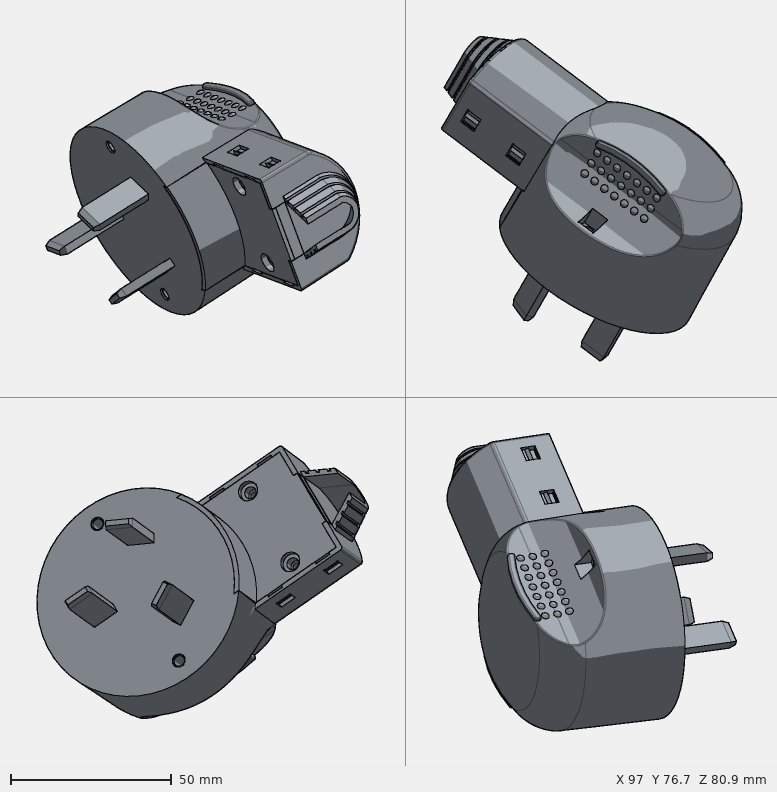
import cadquery as cq
import math

ARM_TILT = 30.0

BASE_RADIUS = 33.55
SIDE_DRAFT = 1.0
SHOULDER_START = 33.0
DOME_EDGE_RADIUS = 25.0
DOME_EDGE_HEIGHT = 45.4
BODY_HEIGHT = 52.1

GRIP_WALL = 20.3
GRIP_RADIUS = 14.5
GRIP_TANGENT_HEIGHT = 38.0
GRIP_RIM_FILLET = 0.5
BUMP_RADIUS = 1.25
BUMP_HEIGHT = 0.6
BUMP_PITCH = 4.0
BUMPS_PER_ROW = 7
BUMP_ROW_HEIGHTS = (41.7, 37.6, 33.7)
RAIL_HALF_SPAN = 13.7
RAIL_END_HEIGHT = 45.6
RAIL_CROWN_HEIGHT = 47.75
RAIL_THICKNESS = 2.4
RAIL_PROJECTION = 1.2
RAIL_ROOT = 1.0
RAIL_CORNER_FILLET = 0.9
RAIL_EDGE_FILLET = 0.5

BODY_SCREW_OFFSET = 27.0
BODY_SCREW_RADIUS = 1.7
BODY_SCREW_MOUTH_RADIUS = 2.1
SCREW_MOUTH_DEPTH = 0.6
SCREW_RECESS_WIDTH = 6.0
SCREW_RECESS_INNER = 24.7
SCREW_RECESS_OUTER = 31.0
SCREW_RECESS_FLOOR = 22.0

ARM_END = 60.0
ARM_HALF_WIDTH = 20.45
ARM_BOTTOM = 15.8
ARM_SIDE_HEIGHT = 34.9
ARM_CROWN_HEIGHT = 45.6
ARM_DRAFT = 1.0
ARM_SHOULDER_FILLET = 2.5
ARM_END_FILLET = 1.0
ARM_WALL = 1.65

SEAM_STEP = 0.15
COVER_THICKNESS = 1.5
COVER_TONGUE_HALF_WIDTH = 9.5
NECK_HALF_WIDTH = 19.0
NECK_INNER_RADIUS = 32.0

ARM_SCREW_X = 43.5
ARM_SCREW_OFFSET = 14.0
ARM_SCREW_STEPS = ((3.15, 2.3), (1.9, 6.0), (1.2, 15.0))

WINDOW_X = (34.6, 52.8)
WINDOW_LENGTH = 5.3
WINDOW_BOTTOM = 21.9
WINDOW_TOP = 26.6
LATCH_SLOPE_BOTTOM = 24.0
LATCH_SLOPE_TOP = 25.1
LATCH_FACE = 19.0
LATCH_TIP = 19.7
WINDOW_BACK = 18.4
LATCH_SLOT_OUTER = 19.6

SLEEVE_END = 69.9
SLEEVE_BOTTOM = 20.9
SLEEVE_SPRING_HEIGHT = 34.8
SLEEVE_ROOT = (11.5, 10.0)
SLEEVE_TIP = (5.85, 4.5)
SLEEVE_WALL = 2.1
GROOVE_X = (61.6, 64.7, 67.9)
GROOVE_WIDTH = 0.8
GROOVE_DEPTH = 0.9

PIN_WIDTH = 8.8
PIN_THICKNESS = 2.9
PIN_TIP_LENGTH = 2.1
PIN_TIP_INSET = 0.6
EARTH_PIN_LENGTH = 24.6
LIVE_PIN_LENGTH = 21.5
EARTH_PIN_X = -13.1
LIVE_PIN_X = 9.3
LIVE_PIN_OFFSET = 14.1
LIVE_PIN_ANGLE = 30.0

MARGIN = 5.0


def mirrored(shape):
    """The shape together with its mirror image across the arm's middle plane."""
    return shape.union(shape.mirror("XY"))


def block(x_range, y_range, z_range):
    """Box between the given limits."""
    (x0, x1), (y0, y1), (z0, z1) = x_range, y_range, z_range
    return cq.Workplane("XY").box(x1 - x0, y1 - y0, z1 - z0, centered=False).translate((x0, y0, z0))


def cylinder_y(x, z, radius, y_range):
    """Cylinder standing along Y."""
    start, end = y_range
    solid = cq.Solid.makeCylinder(radius, end - start, cq.Vector(x, start, z), cq.Vector(0, 1, 0))
    return cq.Workplane(solid)


def side_radius(height):
    """Radius of the drafted body side at a height."""
    return BASE_RADIUS - height * math.tan(math.radians(SIDE_DRAFT))


def round_body():
    """Drafted drum with a rounded shoulder running smoothly into a shallow dome."""
    dome_rise = BODY_HEIGHT - DOME_EDGE_HEIGHT
    dome_radius = (DOME_EDGE_RADIUS**2 + dome_rise**2) / (2 * dome_rise)
    half_angle = math.asin(DOME_EDGE_RADIUS / dome_radius) / 2
    dome_middle = (
        dome_radius * math.sin(half_angle),
        BODY_HEIGHT - dome_radius * (1 - math.cos(half_angle)),
    )
    return (
        cq.Workplane("XY")
        .lineTo(BASE_RADIUS, 0)
        .lineTo(side_radius(SHOULDER_START), SHOULDER_START)
        .tangentArcPoint((DOME_EDGE_RADIUS, DOME_EDGE_HEIGHT), relative=False)
        .threePointArc(dome_middle, (0, BODY_HEIGHT))
        .close()
        .revolve(360, (0, 0, 0), (0, 1, 0))
    )


def grip_cutter():
    """Cutter for a grip: an upright wall running into a quarter-round floor, along the arm direction."""
    floor_axis = GRIP_WALL + GRIP_RADIUS
    hollow = cq.Workplane(
        cq.Solid.makeCylinder(
            GRIP_RADIUS,
            2 * BASE_RADIUS,
            cq.Vector(-BASE_RADIUS, GRIP_TANGENT_HEIGHT, floor_axis),
            cq.Vector(1, 0, 0),
        )
    )
    above = block(
        (-BASE_RADIUS, BASE_RADIUS),
        (GRIP_TANGENT_HEIGHT, BODY_HEIGHT + MARGIN),
        (GRIP_WALL, floor_axis + GRIP_RADIUS),
    )
    return hollow.union(above)


def gripped_body():
    """Round body with both grips cut and their rims rounded."""
    body = round_body().cut(mirrored(grip_cutter()))
    floor_rims = body.faces("%CYLINDER").edges("not %LINE")
    wall_rims = body.faces("%PLANE and (not <Y)").edges("not %LINE")
    return body.newObject(floor_rims.vals() + wall_rims.vals()).fillet(GRIP_RIM_FILLET)


def grip_bumps():
    """Rows of shallow round caps standing on the grip surface."""
    ball_radius = (BUMP_RADIUS**2 + BUMP_HEIGHT**2) / (2 * BUMP_HEIGHT)
    sink = ball_radius - BUMP_HEIGHT
    floor_axis = GRIP_WALL + GRIP_RADIUS
    bumps = cq.Workplane("XY")
    for height in BUMP_ROW_HEIGHTS:
        drop = max(GRIP_TANGENT_HEIGHT - height, 0)
        angle = math.asin(drop / GRIP_RADIUS)
        y = height - sink * math.sin(angle)
        z = floor_axis - GRIP_RADIUS * math.cos(angle) - sink * math.cos(angle)
        for index in range(BUMPS_PER_ROW):
            x = (index - (BUMPS_PER_ROW - 1) / 2) * BUMP_PITCH
            bumps = bumps.union(cq.Workplane("XY").sphere(ball_radius).translate((x, y, z)))
    return bumps


def grip_rail():
    """Curved bar along the top of the grip wall."""
    return (
        cq.Workplane("XY", origin=(0, 0, GRIP_WALL - RAIL_ROOT))
        .moveTo(-RAIL_HALF_SPAN, RAIL_END_HEIGHT)
        .threePointArc((0, RAIL_CROWN_HEIGHT), (RAIL_HALF_SPAN, RAIL_END_HEIGHT))
        .lineTo(RAIL_HALF_SPAN, RAIL_END_HEIGHT - RAIL_THICKNESS)
        .threePointArc(
            (0, RAIL_CROWN_HEIGHT - RAIL_THICKNESS),
            (-RAIL_HALF_SPAN, RAIL_END_HEIGHT - RAIL_THICKNESS),
        )
        .close()
        .extrude(RAIL_ROOT + RAIL_PROJECTION)
        .edges("|Z")
        .fillet(RAIL_CORNER_FILLET)
        .faces(">Z")
        .edges()
        .fillet(RAIL_EDGE_FILLET)
    )


def arm():
    """Drafted arm with an arched back, reaching from the body axis to its end face."""
    inset = (ARM_SIDE_HEIGHT - ARM_BOTTOM) * math.tan(math.radians(ARM_DRAFT))
    shoulder = ARM_HALF_WIDTH - inset
    profile = (
        cq.Workplane("ZY")
        .moveTo(-ARM_HALF_WIDTH, ARM_BOTTOM)
        .lineTo(-shoulder, ARM_SIDE_HEIGHT)
        .threePointArc((0, ARM_CROWN_HEIGHT), (shoulder, ARM_SIDE_HEIGHT))
        .lineTo(ARM_HALF_WIDTH, ARM_BOTTOM)
        .close()
        .extrude(-ARM_END)
    )
    rounded = profile.edges("|X and (not <Y)").fillet(ARM_SHOULDER_FILLET)
    return rounded.faces(">X").edges("not <Y").fillet(ARM_END_FILLET)


def sleeve_shape(inset):
    """Tapering arch of the cable sleeve, its surface moved inwards by inset."""

    def arch(workplane, size):
        half_width, rise = size[0] - inset, size[1] - inset
        return (
            workplane.moveTo(-half_width, SLEEVE_BOTTOM)
            .lineTo(-half_width, SLEEVE_SPRING_HEIGHT)
            .threePointArc((0, SLEEVE_SPRING_HEIGHT + rise), (half_width, SLEEVE_SPRING_HEIGHT))
            .lineTo(half_width, SLEEVE_BOTTOM)
            .close()
        )

    root = arch(cq.Workplane("ZY", origin=(ARM_END, 0, 0)), SLEEVE_ROOT)
    return arch(root.workplane(offset=ARM_END - SLEEVE_END), SLEEVE_TIP).loft(ruled=True)


def cable_sleeve():
    """Hollow sleeve, open below and at its tip, with grooves round the outside."""
    outer = sleeve_shape(0)
    skin = outer.cut(sleeve_shape(GROOVE_DEPTH))
    sleeve = outer.cut(sleeve_shape(SLEEVE_WALL))
    for x in GROOVE_X:
        slab = block(
            (x - GROOVE_WIDTH / 2, x + GROOVE_WIDTH / 2),
            (0, BODY_HEIGHT),
            (-ARM_HALF_WIDTH, ARM_HALF_WIDTH),
        )
        sleeve = sleeve.cut(skin.intersect(slab))
    return sleeve


def cover_seam():
    """Shallow step that marks the cover plate off in the arm bottom and in the end face."""
    step_top = ARM_BOTTOM + SEAM_STEP
    cover_end = ARM_END - ARM_WALL
    half_width = ARM_HALF_WIDTH - ARM_WALL
    tongue = COVER_TONGUE_HALF_WIDTH
    plate = block((0, cover_end), (ARM_BOTTOM, step_top), (-half_width, half_width))
    lip = block((cover_end, ARM_END), (ARM_BOTTOM, step_top), (-tongue, tongue))
    opening = block((ARM_END - SEAM_STEP, ARM_END), (ARM_BOTTOM, SLEEVE_BOTTOM), (-tongue, tongue))
    cover_edge = block(
        (ARM_END - 2 * SEAM_STEP, ARM_END),
        (ARM_BOTTOM, ARM_BOTTOM + COVER_THICKNESS),
        (-tongue, tongue),
    )
    seam = plate.union(lip).union(opening).union(cover_edge)
    return seam.cut(cylinder_y(0, 0, BASE_RADIUS, (0, BODY_HEIGHT)))


def neck_part(height):
    """Ring segment on the arm side of the body, as wide as the neck and up to a height."""
    ring = cylinder_y(0, 0, BASE_RADIUS, (0, height)).cut(cylinder_y(0, 0, NECK_INNER_RADIUS, (0, height)))
    return ring.intersect(block((0, ARM_END), (0, height), (-NECK_HALF_WIDTH, NECK_HALF_WIDTH)))


def cover_neck():
    """Undrafted neck of the cover plate, filling the body side down to the pin face."""
    return neck_part(ARM_BOTTOM + COVER_THICKNESS)


def neck_seam():
    """Shallow step that marks the neck off in the pin face."""
    return neck_part(SEAM_STEP)


def body_screw():
    """Screw hole from the pin face up into a square recess in the grip floor."""
    hole = cylinder_y(0, BODY_SCREW_OFFSET, BODY_SCREW_RADIUS, (0, GRIP_TANGENT_HEIGHT))
    mouth = cylinder_y(0, BODY_SCREW_OFFSET, BODY_SCREW_MOUTH_RADIUS, (0, SCREW_MOUTH_DEPTH))
    recess = block(
        (-SCREW_RECESS_WIDTH / 2, SCREW_RECESS_WIDTH / 2),
        (SCREW_RECESS_FLOOR, GRIP_TANGENT_HEIGHT),
        (SCREW_RECESS_INNER, SCREW_RECESS_OUTER),
    )
    return hole.union(mouth).union(recess)


def arm_screw():
    """Stepped blind screw hole in the cover plate."""
    hole = cq.Workplane("XY")
    for radius, depth in ARM_SCREW_STEPS:
        hole = hole.union(cylinder_y(ARM_SCREW_X, ARM_SCREW_OFFSET, radius, (ARM_BOTTOM, ARM_BOTTOM + depth)))
    return hole


def latch_windows():
    """Windows in the arm side, each with a barbed latch at the back and a slot down to the cover."""
    outside = ARM_HALF_WIDTH + MARGIN
    windows = cq.Workplane("XY")
    for x in WINDOW_X:
        start = x - WINDOW_LENGTH / 2
        window = (
            cq.Workplane("ZY", origin=(start, 0, 0))
            .moveTo(outside, WINDOW_BOTTOM)
            .lineTo(WINDOW_BACK, WINDOW_BOTTOM)
            .lineTo(WINDOW_BACK, LATCH_SLOPE_BOTTOM)
            .lineTo(LATCH_TIP, LATCH_SLOPE_BOTTOM)
            .lineTo(LATCH_FACE, LATCH_SLOPE_TOP)
            .lineTo(LATCH_FACE, WINDOW_TOP)
            .lineTo(outside, WINDOW_TOP)
            .close()
            .extrude(-WINDOW_LENGTH)
        )
        slot = block(
            (start, start + WINDOW_LENGTH),
            (ARM_BOTTOM, WINDOW_BOTTOM),
            (ARM_HALF_WIDTH - ARM_WALL, LATCH_SLOT_OUTER),
        )
        windows = windows.union(window).union(slot)
    return windows


def pin(length):
    """Flat pin with a tapered tip, hanging from the pin face on the body axis."""
    shank_length = length - PIN_TIP_LENGTH
    shank = cq.Workplane("XZ").rect(PIN_WIDTH, PIN_THICKNESS).extrude(shank_length)
    taper = math.degrees(math.atan(PIN_TIP_INSET / PIN_TIP_LENGTH))
    return shank.faces("<Y").wires().toPending().extrude(PIN_TIP_LENGTH, taper=taper)


def pins():
    """Earth pin in line with the arm and two live pins turned towards it."""
    live = (
        pin(LIVE_PIN_LENGTH)
        .rotate((0, 0, 0), (0, 1, 0), LIVE_PIN_ANGLE)
        .translate((LIVE_PIN_X, 0, LIVE_PIN_OFFSET))
    )
    return mirrored(live).union(pin(EARTH_PIN_LENGTH).translate((EARTH_PIN_X, 0, 0)))


body = gripped_body()
body = body.union(mirrored(grip_rail()))
body = body.union(mirrored(grip_bumps()))
plug = body.union(cover_neck()).union(arm()).union(cable_sleeve())
plug = plug.cut(cover_seam()).cut(neck_seam())
plug = plug.cut(mirrored(body_screw())).cut(mirrored(arm_screw()))
plug = plug.cut(mirrored(latch_windows()))
plug = plug.union(pins())

result = plug.rotate((0, 0, 0), (0, 1, 0), -ARM_TILT)